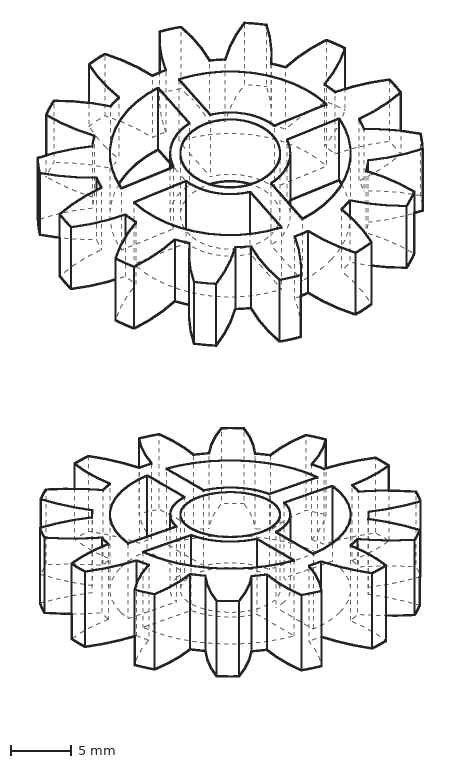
import cadquery as cq
import math

tooth_count = 14
thickness = 7.0
tip_radius = 16.0
root_radius = 11.5

tip_half_width = 0.93
middle_half_width = 1.6
root_half_width = 1.92
flank_middle_height = 13.7

rim_inner_diameter = 20.0
hub_diameter = 9.98
bore_diameter = 8.3
spoke_width = 2.0
tooth_overlap = 0.65
spoke_overlap = 0.32


def height_on_circle(radius, half_width):
    """Y of the point on a circle about the gear axis at the given X."""
    return math.sqrt(radius**2 - half_width**2)


def make_tooth():
    """One tooth pointing along +Y, with curved flanks and a round tip."""
    tip_height = height_on_circle(tip_radius, tip_half_width)
    root_height = height_on_circle(root_radius, root_half_width)
    base_height = root_height - tooth_overlap
    return (
        cq.Workplane("XY")
        .moveTo(-root_half_width, base_height)
        .lineTo(-root_half_width, root_height)
        .threePointArc((-middle_half_width, flank_middle_height), (-tip_half_width, tip_height))
        .threePointArc((0, tip_radius), (tip_half_width, tip_height))
        .threePointArc((middle_half_width, flank_middle_height), (root_half_width, root_height))
        .lineTo(root_half_width, base_height)
        .close()
        .extrude(thickness)
    )


def disc(diameter):
    """A full-thickness cylinder on the gear axis."""
    return cq.Workplane("XY").circle(diameter / 2).extrude(thickness)


def make_spokes():
    """Two crossing bars that reach from rim to rim."""
    bar_length = rim_inner_diameter + 2 * spoke_overlap
    centering = (True, True, False)
    bar_x = cq.Workplane("XY").box(bar_length, spoke_width, thickness, centered=centering)
    bar_y = cq.Workplane("XY").box(spoke_width, bar_length, thickness, centered=centering)
    return bar_x.union(bar_y)


gear = disc(2 * root_radius).cut(disc(rim_inner_diameter))
tooth = make_tooth()
for index in range(tooth_count):
    angle = index * 360 / tooth_count
    gear = gear.union(tooth.rotate((0, 0, 0), (0, 0, 1), angle))

gear = gear.union(make_spokes()).union(disc(hub_diameter))
result = gear.cut(disc(bore_diameter))